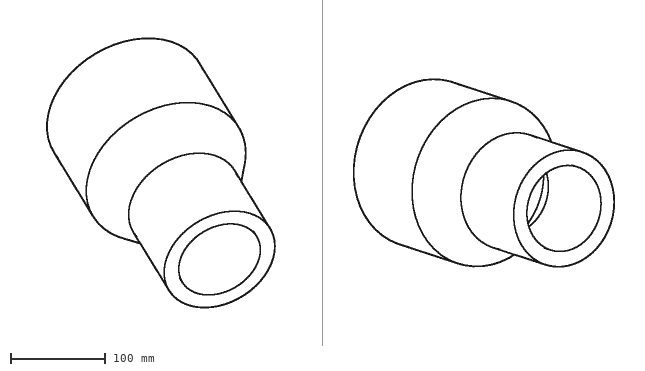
import cadquery as cq

total_length = 275.0
wide_length = 116.5
taper_length = 53.4
wide_outer_diameter = 180.0
wide_bore_diameter = 147.0
narrow_outer_diameter = 125.0
narrow_bore_diameter = 92.0

taper_end = wide_length + taper_length


def stepped_cone(wide_diameter, narrow_diameter):
    """Solid of revolution: wide cylinder, taper, narrow cylinder."""
    wide_radius = wide_diameter / 2
    narrow_radius = narrow_diameter / 2
    half_profile = (
        cq.Workplane("XY")
        .lineTo(0, wide_radius)
        .lineTo(wide_length, wide_radius)
        .lineTo(taper_end, narrow_radius)
        .lineTo(total_length, narrow_radius)
        .lineTo(total_length, 0)
        .close()
    )
    return half_profile.revolve(360, (0, 0, 0), (1, 0, 0))


outer_body = stepped_cone(wide_outer_diameter, narrow_outer_diameter)
bore = stepped_cone(wide_bore_diameter, narrow_bore_diameter)

result = outer_body.cut(bore)